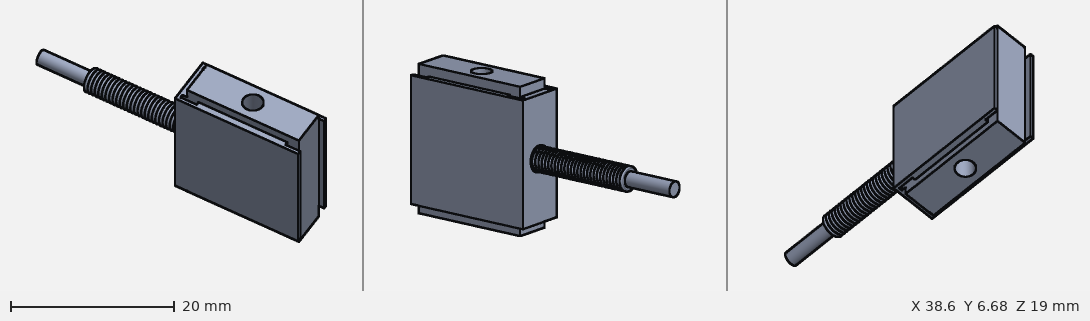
import cadquery as cq
import math

total_length = 38.6

cover_length = 17.53
cover_width = 6.68
cover_height = 16.4
cover_wall = 0.5
cover_start = total_length - cover_length

core_width = 4.8
core_end_setback = 0.45
core_end = total_length - core_end_setback
pad_length = 15.9
pad_height = 1.3
pad_center = core_end - pad_length / 2
bridge_length = 12.63

hole_diameter = 2.63
hole_depth = 5.8
drill_point_angle = 118.0

cable_diameter = 2.0
socket_diameter = 3.4
socket_depth = 0.1
sleeve_start = 7.0
sleeve_end = cover_start + socket_depth
rib_count = 28
rib_pitch = (sleeve_end - sleeve_start) / rib_count
rib_height = rib_pitch / 2
rib_root_radius = 1.35


def block(x_start, x_end, width, height):
    """Box between two X positions, centred in Y and Z."""
    box = cq.Workplane("XY").box(x_end - x_start, width, height)
    return box.translate(((x_start + x_end) / 2, 0, 0))


def make_cover():
    outer = block(cover_start, total_length, cover_width, cover_height)
    opening = block(cover_start + cover_wall, total_length, cover_width - 2 * cover_wall, cover_height)
    return outer.cut(opening)


def make_core():
    """Core from the cover's end wall, the bridge to its side walls, and the two pads."""
    core = block(cover_start + cover_wall, core_end, core_width, cover_height)
    bridge = block(pad_center - bridge_length / 2, pad_center + bridge_length / 2, cover_width, cover_height)
    pads = block(core_end - pad_length, core_end, core_width, cover_height + 2 * pad_height)
    return core.union(bridge).union(pads)


def make_mounting_hole(direction):
    """Drilled hole with a conical bottom; direction is +1 for the upper pad, -1 for the lower."""
    radius = hole_diameter / 2
    point_length = radius / math.tan(math.radians(drill_point_angle / 2))
    mouth = cover_height / 2 + pad_height
    shoulder = mouth - hole_depth
    profile = (
        cq.Workplane("XZ")
        .moveTo(0, direction * mouth)
        .lineTo(radius, direction * mouth)
        .lineTo(radius, direction * shoulder)
        .lineTo(0, direction * (shoulder - point_length))
        .close()
    )
    return profile.revolve(360, (0, 0, 0), (0, 1, 0)).translate((pad_center, 0, 0))


def make_socket():
    """Round recess in the cover's end wall that receives the strain relief."""
    face = cq.Workplane("YZ").workplane(offset=cover_start)
    return face.circle(socket_diameter / 2).extrude(socket_depth)


def make_cable():
    return cq.Workplane("YZ").circle(cable_diameter / 2).extrude(sleeve_end)


def make_strain_relief():
    """Sleeve with touching half-round ribs; it ends on the socket floor."""
    profile = cq.Workplane("XY").moveTo(sleeve_start, 0).lineTo(sleeve_start, rib_root_radius)
    for rib in range(rib_count):
        rib_start = sleeve_start + rib * rib_pitch
        crest = (rib_start + rib_pitch / 2, rib_root_radius + rib_height)
        profile = profile.threePointArc(crest, (rib_start + rib_pitch, rib_root_radius))
    profile = profile.lineTo(sleeve_end, 0).close()
    return profile.revolve(360, (0, 0, 0), (1, 0, 0))


result = make_cover().union(make_core())
for side in (1, -1):
    result = result.cut(make_mounting_hole(side))
result = result.cut(make_socket())
result = result.union(make_strain_relief()).union(make_cable())